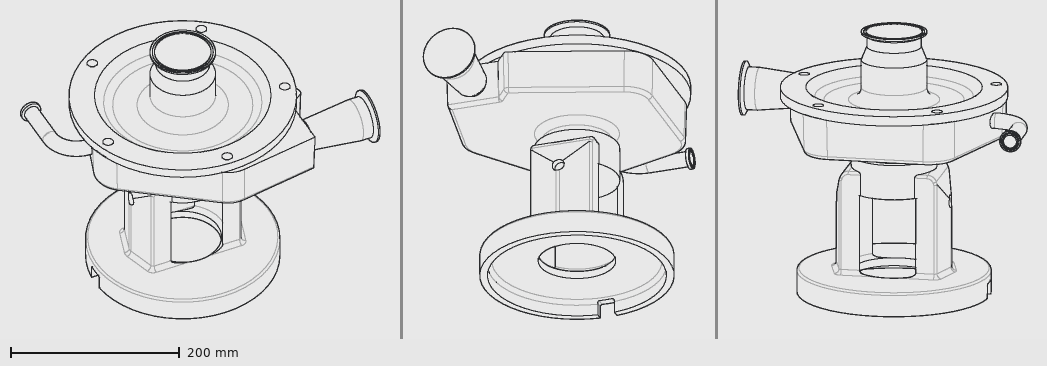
import cadquery as cq
import math


base_top = 29.0
collar_bottom = 126.0
leg_top = 154.5
collar_top = 168.3
casing_bottom = 188.0
casing_top = 239.5
flange_top = 251.0
inlet_body_top = 284.7
inlet_neck_bottom = 301.0
inlet_top = 319.5

base_radius = 115.3
base_hole_radius = 46.0
base_edge_round = 2.5
base_wall = 9.3
cavity_height = 19.3
cavity_round = 5.2
notch_width = 20.8
notch_depth = 15.0
notch_height = 17.8
notch_round = 2.2

leg_half_width = 39.0
leg_side_y = 58.5
ridge_y = 70.0
ridge_round = 8.5
foot_round = 5.5
leg_edge_round = 3.5
leg_shoulder_round = 11.0
slope_bottom = 114.0
slope_top = 147.0
slope_top_y = 58.2
leg_hole_radius = 7.5
leg_hole_depth = 11.0
leg_bore_radius = base_hole_radius + foot_round
collar_radius = 50.8
neck_radius = 41.5
neck_round = 9.0

face_count = 5
face_distance = 115.3
casing_corner_round = 35.0
casing_small_round = 6.0
casing_floor_round = 5.0
draft_angle = 1.3
outlet_face_y = 114.5
outlet_corner_x = 123.8

flange_radius = 135.0
bolt_circle_radius = 122.0
bolt_hole_radius = 6.3
bolt_count = 5
recess_radius = 104.5
recess_depth = 15.2
recess_round = recess_depth
wall_slope = 45

inlet_radius = 39.0
inlet_neck_radius = 32.3
inlet_lip_thickness = 2.2
inlet_lip_taper = 3.5
inlet_groove_radius = 35.0
inlet_groove_width = 2.5

outlet_x = 91.2
outlet_z = 215.0
outlet_end_y = 200.0
outlet_root_radius = 16.5
outlet_small_radius = 19.0
outlet_large_radius = 25.5
outlet_lip_radius = 32.3
outlet_step_y = 116.8
outlet_cone_start_y = 118.5
outlet_cone_end_y = 181.5
outlet_lip_thickness = 2.2
outlet_lip_taper = 3.5

drain_y = -158.0
drain_z = 216.0
drain_end_x = -89.5
drain_bend_x = -35.0
drain_bend_radius = 35.0
drain_radius = 9.3
drain_bore_radius = 7.8
drain_lip_radius = 12.5
drain_lip_thickness = 3.7
drain_lip_taper = 0.7
drain_groove_radius = 10.0
drain_groove_width = 1.5
groove_depth = 1.0

overlap = 7.5
arc_inset = 1 - math.sqrt(0.5)


def cylinder(radius, bottom, top):
    return cq.Workplane("XY", origin=(0, 0, bottom)).circle(radius).extrude(top - bottom)


def turned(profile):
    """Solid of revolution about local Z from (radius, height) points."""
    return cq.Workplane("XZ").polyline(profile).close().revolve(360, (0, 0, 0), (0, 1, 0))


def ring(mid_radius, width, depth):
    """Flat ring lying below local Z = 0."""
    blank = cq.Workplane("XY").circle(mid_radius + width / 2).circle(mid_radius - width / 2)
    return blank.extrude(-depth)


def make_base():
    base = cylinder(base_radius, 0, base_top).faces(">Z").edges().fillet(base_edge_round)
    cavity = cylinder(base_radius - base_wall, 0, cavity_height)
    cavity = cavity.faces(">Z").edges().fillet(cavity_round)
    notch = cq.Workplane("XY").box(notch_width, 2 * notch_depth, notch_height, centered=(True, True, False))
    notch = notch.faces(">Z").edges("|Y").fillet(notch_round)
    return base.cut(cavity).cut(notch.translate((0, -base_radius, 0)))


def make_leg_block():
    """Both legs as one solid block, before the bore separates them."""
    block = (
        cq.Workplane("XY", origin=(0, 0, base_top))
        .moveTo(leg_half_width, -leg_side_y)
        .lineTo(leg_half_width, leg_side_y)
        .lineTo(0, ridge_y)
        .lineTo(-leg_half_width, leg_side_y)
        .lineTo(-leg_half_width, -leg_side_y)
        .lineTo(0, -ridge_y)
        .close()
        .extrude(leg_top - base_top)
    )
    slope_run = (ridge_y - slope_top_y) / (slope_top - slope_bottom)
    roof_top_y = ridge_y - slope_run * (leg_top - slope_bottom)
    roof_cut = (
        cq.Workplane("YZ", origin=(-leg_half_width, 0, 0))
        .moveTo(ridge_y, slope_bottom)
        .lineTo(ridge_y, leg_top)
        .lineTo(roof_top_y, leg_top)
        .close()
        .extrude(2 * leg_half_width)
    )
    block = block.cut(roof_cut).cut(roof_cut.mirror("XZ"))
    block = block.edges("|X").edges(">Z").fillet(leg_shoulder_round)
    block = block.edges("|Z").edges(">Y or <Y").fillet(ridge_round)
    return block.faces(">X or <X").edges("not(<Z)").fillet(leg_edge_round)


def make_bore_cutter():
    """Bore between the legs, flaring into the smaller hole through the base."""
    flare_mid = foot_round * arc_inset
    return (
        cq.Workplane("XZ")
        .moveTo(0, 0)
        .lineTo(base_hole_radius, 0)
        .lineTo(base_hole_radius, base_top)
        .threePointArc(
            (leg_bore_radius - flare_mid, base_top + flare_mid),
            (leg_bore_radius, base_top + foot_round),
        )
        .lineTo(leg_bore_radius, collar_bottom)
        .lineTo(0, collar_bottom)
        .close()
        .revolve(360, (0, 0, 0), (0, 1, 0))
    )


def make_pedestal():
    stand = make_base().union(make_leg_block())
    foot_box = cq.selectors.BoxSelector(
        (-leg_half_width - overlap, -ridge_y - overlap, base_top - overlap / 4),
        (leg_half_width + overlap, ridge_y + overlap, base_top + overlap / 4),
    )
    stand = stand.edges(foot_box).fillet(foot_round)
    stand = stand.cut(make_bore_cutter())
    for side in (-1, 1):
        hole = cq.Workplane("XZ", origin=(0, side * ridge_y, slope_bottom)).circle(leg_hole_radius)
        stand = stand.cut(hole.extrude(side * leg_hole_depth))
    return stand.union(cylinder(collar_radius, collar_bottom, collar_top))


def make_casing():
    """Drafted five-sided body whose corner at +X grows into the outlet block."""
    half_step = math.pi / face_count
    corner_distance = face_distance / math.cos(half_step)

    corners = []
    for index in range(face_count):
        angle = 2 * index * half_step
        corners.append((corner_distance * math.cos(angle), corner_distance * math.sin(angle)))
    outlet_corner = (outlet_corner_x, outlet_face_y)
    inner_corner_x = (face_distance - outlet_face_y * math.sin(half_step)) / math.cos(half_step)
    inner_corner = (inner_corner_x, outlet_face_y)
    outline = [corners[0], outlet_corner, inner_corner] + corners[1:]

    body = (
        cq.Workplane("XY", origin=(0, 0, casing_top))
        .polyline(outline)
        .close()
        .extrude(casing_bottom - casing_top, taper=draft_angle)
    )
    middle = (casing_bottom + casing_top) / 2

    for index, corner in enumerate(corners):
        radius = casing_small_round if index == 1 else casing_corner_round
        body = body.edges(cq.NearestToPointSelector((*corner, middle))).fillet(radius)
    return body.faces("<Z").edges().fillet(casing_floor_round)


def make_neck():
    """Neck between collar and casing, flaring out under the casing."""
    flare_mid = neck_round * arc_inset
    return (
        cq.Workplane("XZ")
        .moveTo(0, collar_top - overlap)
        .lineTo(neck_radius, collar_top - overlap)
        .lineTo(neck_radius, casing_bottom - neck_round)
        .threePointArc(
            (neck_radius + flare_mid, casing_bottom - flare_mid),
            (neck_radius + neck_round, casing_bottom),
        )
        .lineTo(neck_radius + neck_round, casing_bottom + overlap)
        .lineTo(0, casing_bottom + overlap)
        .close()
        .revolve(360, (0, 0, 0), (0, 1, 0))
    )


def make_recess():
    """Dish around the inlet: sloping wall, rounded into the floor and the inlet."""
    floor = flange_top - recess_depth
    half_slope = math.radians(wall_slope / 2)
    tangent = recess_round * math.tan(half_slope)
    wall_foot = recess_radius - recess_depth / math.tan(2 * half_slope)
    wall_run = tangent * math.cos(2 * half_slope)
    wall_rise = tangent * math.sin(2 * half_slope)
    round_centre = (wall_foot - tangent, floor + recess_round)
    root_mid = recess_round * arc_inset
    return (
        cq.Workplane("XZ")
        .moveTo(inlet_radius, floor + recess_round)
        .threePointArc(
            (inlet_radius + root_mid, floor + root_mid),
            (inlet_radius + recess_round, floor),
        )
        .lineTo(wall_foot - tangent, floor)
        .threePointArc(
            (
                round_centre[0] + recess_round * math.sin(half_slope),
                round_centre[1] - recess_round * math.cos(half_slope),
            ),
            (wall_foot + wall_run, floor + wall_rise),
        )
        .lineTo(recess_radius, flange_top)
        .close()
        .revolve(360, (0, 0, 0), (0, 1, 0))
    )


def make_flange():
    flange = cylinder(flange_radius, casing_top, flange_top)
    bolts = (
        cq.Workplane("XY", origin=(0, 0, casing_top))
        .polarArray(bolt_circle_radius, 0, 360, bolt_count)
        .circle(bolt_hole_radius)
        .extrude(flange_top - casing_top)
    )
    return flange.cut(bolts)


def make_inlet():
    lip_bottom = inlet_top - inlet_lip_thickness
    inlet = turned([
        (0, casing_top),
        (inlet_radius, casing_top),
        (inlet_radius, inlet_body_top),
        (inlet_neck_radius, inlet_neck_bottom),
        (inlet_neck_radius, lip_bottom - inlet_lip_taper),
        (inlet_radius, lip_bottom),
        (inlet_radius, inlet_top),
        (0, inlet_top),
    ])
    groove = ring(inlet_groove_radius, inlet_groove_width, groove_depth)
    return inlet.cut(groove.translate((0, 0, inlet_top)))


def make_outlet():
    """Tapered outlet pipe, turned along Z and then laid along +Y."""
    lip_start = outlet_end_y - outlet_lip_thickness
    pipe = turned([
        (0, outlet_face_y - overlap),
        (outlet_root_radius, outlet_face_y - overlap),
        (outlet_root_radius, outlet_step_y),
        (outlet_small_radius, outlet_cone_start_y),
        (outlet_large_radius, outlet_cone_end_y),
        (outlet_large_radius, lip_start - outlet_lip_taper),
        (outlet_lip_radius, lip_start),
        (outlet_lip_radius, outlet_end_y),
        (0, outlet_end_y),
    ])
    return pipe.rotate((0, 0, 0), (1, 0, 0), -90).translate((outlet_x, 0, outlet_z))


def drain_run(radius, inner_y):
    """Round bar along the drain: from its open end through the bend to inner_y."""
    bend_mid = drain_bend_radius * math.sqrt(0.5)
    bend_centre_y = drain_y + drain_bend_radius
    path = (
        cq.Workplane("XY", origin=(0, 0, drain_z))
        .moveTo(drain_end_x, drain_y)
        .lineTo(drain_bend_x, drain_y)
        .threePointArc(
            (drain_bend_x + bend_mid, bend_centre_y - bend_mid),
            (drain_bend_x + drain_bend_radius, bend_centre_y),
        )
        .lineTo(drain_bend_x + drain_bend_radius, inner_y)
    )
    section = cq.Workplane("YZ", origin=(drain_end_x, drain_y, drain_z)).circle(radius)
    return section.sweep(path)


def make_drain():
    """Drain pipe with its bore ending where the pipe meets the casing."""
    casing_wall_y = -face_distance
    lip = turned([
        (0, 0),
        (drain_lip_radius, 0),
        (drain_lip_radius, -drain_lip_thickness),
        (drain_radius, -drain_lip_thickness - drain_lip_taper),
        (0, -drain_lip_thickness - drain_lip_taper),
    ])
    lip = lip.cut(ring(drain_groove_radius, drain_groove_width, groove_depth))
    lip = lip.rotate((0, 0, 0), (0, 1, 0), -90).translate((drain_end_x, drain_y, drain_z))
    pipe = drain_run(drain_radius, casing_wall_y + overlap)
    bore = drain_run(drain_bore_radius, casing_wall_y)
    return pipe.union(lip).cut(bore)


result = (
    make_pedestal()
    .union(make_neck())
    .union(make_casing())
    .union(make_flange())
    .cut(make_recess())
    .union(make_inlet())
    .union(make_outlet())
    .union(make_drain())
)